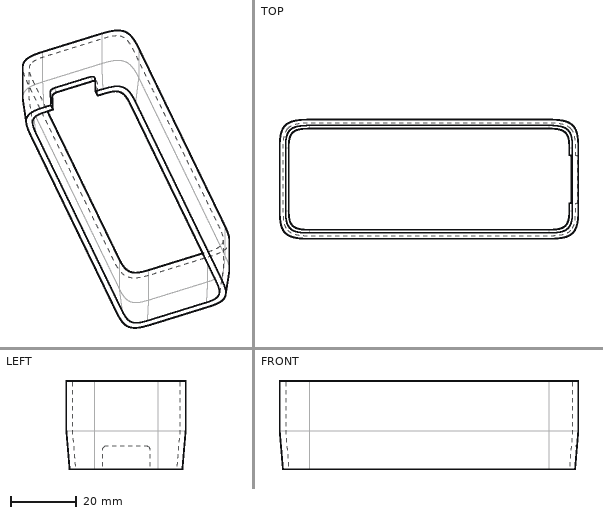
import cadquery as cq

length = 91.6
width = 36.6
height = 27.1

taper_height = 11.9
taper_inset = 1.0
wall = 1.8

straight_length = 73.3
straight_width = 19.4
corner_fullness = 0.8

notch_width = 14.7
notch_height = 7.3
notch_corner_radius = 1.4
notch_depth = 9.2


def soft_rectangle(z, inset):
    """Closed wire at height z, moved inward from the full outline by inset."""
    half_x = length / 2 - inset
    half_y = width / 2 - inset
    flat_x = straight_length / 2
    flat_y = straight_width / 2
    handle_x = flat_x + corner_fullness * (half_x - flat_x)
    handle_y = flat_y + corner_fullness * (half_y - flat_y)
    return (
        cq.Workplane("XY", origin=(0, 0, z))
        .moveTo(-flat_x, -half_y)
        .lineTo(flat_x, -half_y)
        .bezier([(flat_x, -half_y), (handle_x, -half_y), (half_x, -handle_y), (half_x, -flat_y)])
        .lineTo(half_x, flat_y)
        .bezier([(half_x, flat_y), (half_x, handle_y), (handle_x, half_y), (flat_x, half_y)])
        .lineTo(-flat_x, half_y)
        .bezier([(-flat_x, half_y), (-handle_x, half_y), (-half_x, handle_y), (-half_x, flat_y)])
        .lineTo(-half_x, -flat_y)
        .bezier([(-half_x, -flat_y), (-half_x, -handle_y), (-handle_x, -half_y), (-flat_x, -half_y)])
        .wire()
        .val()
    )


def sleeve_body(inset):
    """Solid with a tapered lower band and an upright upper band."""
    bottom = soft_rectangle(0, inset + taper_inset)
    middle = soft_rectangle(taper_height, inset)
    top = soft_rectangle(height, inset)
    lower_band = cq.Solid.makeLoft([bottom, middle], True)
    upper_band = cq.Solid.makeLoft([middle, top], True)
    return cq.Workplane(lower_band).union(cq.Workplane(upper_band))


def end_notch():
    """Cutter for the notch, with its two upper corners rounded."""
    return (
        cq.Workplane("XY")
        .box(notch_depth, notch_width, notch_height, centered=(True, True, False))
        .edges("|X and >Z")
        .fillet(notch_corner_radius)
        .translate((length / 2, 0, 0))
    )


result = sleeve_body(0).cut(sleeve_body(wall)).cut(end_notch())